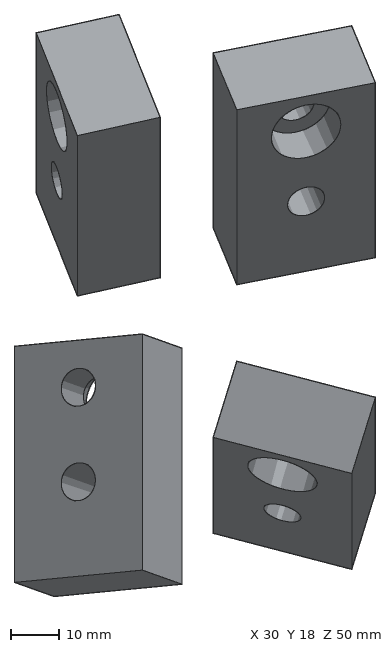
import cadquery as cq

width = 30
depth = 18
height = 50

hole_diameter = 8
hole_spacing = 20
upper_hole_from_top = 10
upper_hole_z = height / 2 - upper_hole_from_top
lower_hole_z = upper_hole_z - hole_spacing

counterbore_diameter = 15
counterbore_depth = 8


def front_bore(z, diameter, length):
    """Cylinder running from the front face into the block at height z."""
    front_plane = cq.Workplane("XZ", origin=(0, -depth / 2, z))
    return front_plane.circle(diameter / 2).extrude(-length)


result = cq.Workplane("XY").box(width, depth, height)
for hole_z in (upper_hole_z, lower_hole_z):
    result = result.cut(front_bore(hole_z, hole_diameter, depth))
result = result.cut(front_bore(upper_hole_z, counterbore_diameter, counterbore_depth))